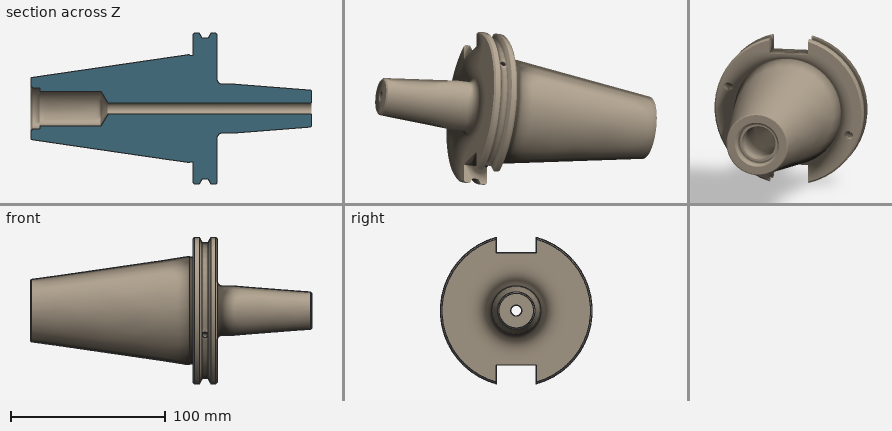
import cadquery as cq
import math

total_length = 181.6
gauge_x = 101.7
gauge_radius = 70.0 / 2
taper_ratio = 7 / 24
small_radius = gauge_radius - gauge_x * taper_ratio / 2
small_chamfer = 0.5
gauge_band = 0.9
neck_radius = 69.2 / 2

flange_x = 104.8
flange_width = 15.8
flange_end_x = flange_x + flange_width
flange_radius = 49.0
flange_chamfer = 1.0
groove_x = flange_x + flange_width / 2
groove_radius = 45.8
groove_floor_width = 3.8
groove_half_floor = groove_floor_width / 2
groove_half_mouth = groove_half_floor + (flange_radius - groove_radius) * math.tan(math.radians(30))

nose_radius = 32.0 / 2
nose_fillet = 3.0
nose_taper_x = 131.0
nose_tip_radius = 24.2 / 2
tip_chamfer = 0.9

slot_width = 25.6
upper_slot_floor = 37.5
lower_slot_floor = 35.2
dimple_radius = 10.0 / 2

bore_mouth_radius = 14.5
bore_mouth_depth = 1.5
counterbore_radius = 26.2 / 2
counterbore_depth = 6.0
thread_radius = 22.0 / 2
thread_depth = 45.4
through_radius = 6.9 / 2
drill_half_angle = math.radians(59)

coolant_angle = 20.0
face_hole_radius = 5.0 / 2
face_hole_offset = 42.0
face_hole_depth = 1.8
inner_hole_radius = 4.2 / 2
inner_hole_depth = 5.5
face_hole_tilt = 37.0
radial_hole_radius = 3.6 / 2
radial_hole_depth = 7.3


def drill_point(radius):
    """Length of the conical tip left by a drill."""
    return radius / math.tan(drill_half_angle)


def revolve_about_x(profile):
    return profile.close().revolve(360, (0, 0, 0), (1, 0, 0))


def drilled_hole(radius, depth, start, direction):
    """Blind hole with a conical bottom."""
    origin = cq.Vector(*start)
    axis = cq.Vector(*direction)
    barrel = cq.Solid.makeCylinder(radius, depth, origin, axis)
    tip = cq.Solid.makeCone(radius, 0, drill_point(radius), origin + axis * depth, axis)
    return cq.Workplane(barrel).union(cq.Workplane(tip))


def make_body():
    return revolve_about_x(
        cq.Workplane("XY")
        .moveTo(0, 0)
        .lineTo(0, small_radius - small_chamfer)
        .lineTo(small_chamfer, small_radius + small_chamfer * taper_ratio / 2)
        .lineTo(gauge_x, gauge_radius)
        .lineTo(gauge_x + gauge_band, gauge_radius)
        .lineTo(gauge_x + gauge_band, neck_radius)
        .lineTo(flange_x, neck_radius)
        .lineTo(flange_x, flange_radius - flange_chamfer)
        .lineTo(flange_x + flange_chamfer, flange_radius)
        .lineTo(groove_x - groove_half_mouth, flange_radius)
        .lineTo(groove_x - groove_half_floor, groove_radius)
        .lineTo(groove_x + groove_half_floor, groove_radius)
        .lineTo(groove_x + groove_half_mouth, flange_radius)
        .lineTo(flange_end_x - flange_chamfer, flange_radius)
        .lineTo(flange_end_x, flange_radius - flange_chamfer)
        .lineTo(flange_end_x, nose_radius + nose_fillet)
        .radiusArc((flange_end_x + nose_fillet, nose_radius), -nose_fillet)
        .lineTo(nose_taper_x, nose_radius)
        .lineTo(total_length - tip_chamfer, nose_tip_radius)
        .lineTo(total_length, nose_tip_radius - tip_chamfer)
        .lineTo(total_length, 0)
    )


def make_bore():
    cone_length = (thread_radius - through_radius) / math.tan(drill_half_angle)
    return revolve_about_x(
        cq.Workplane("XY")
        .moveTo(0, 0)
        .lineTo(0, bore_mouth_radius)
        .lineTo(bore_mouth_depth, counterbore_radius)
        .lineTo(counterbore_depth, counterbore_radius)
        .lineTo(counterbore_depth, thread_radius)
        .lineTo(thread_depth, thread_radius)
        .lineTo(thread_depth + cone_length, through_radius)
        .lineTo(total_length, through_radius)
        .lineTo(total_length, 0)
    )


def make_drive_slot(floor_z, side):
    """Slot across the flange rim; side is +1 for the top and -1 for the bottom."""
    height = flange_radius - floor_z
    return cq.Workplane("XY").box(flange_width, slot_width, height).translate(
        (groove_x, 0, side * (floor_z + height / 2))
    )


def make_dimple():
    origin = cq.Vector(groove_x, 0, upper_slot_floor)
    return cq.Workplane(
        cq.Solid.makeCone(dimple_radius, 0, drill_point(dimple_radius), origin, cq.Vector(0, 0, -1))
    )


def make_coolant_holes(side):
    angle = math.radians(coolant_angle)
    out_y = side * math.cos(angle)
    out_z = side * math.sin(angle)
    tilt = math.radians(face_hole_tilt)
    inward = math.sin(tilt)
    direction = (math.cos(tilt), -inward * out_y, -inward * out_z)
    lead = face_hole_radius * math.tan(tilt)
    start_x = flange_x - lead * math.cos(tilt)
    start_offset = face_hole_offset + lead * inward
    face_start = (start_x, start_offset * out_y, start_offset * out_z)
    face_hole = cq.Workplane(
        cq.Solid.makeCylinder(
            face_hole_radius, face_hole_depth + lead, cq.Vector(*face_start), cq.Vector(*direction)
        )
    )
    inner_hole = drilled_hole(inner_hole_radius, inner_hole_depth + lead, face_start, direction)
    radial_start = (groove_x, flange_radius * out_y, flange_radius * out_z)
    barrel_length = radial_hole_depth + flange_radius - groove_radius
    radial_hole = drilled_hole(radial_hole_radius, barrel_length, radial_start, (0, -out_y, -out_z))
    return face_hole.union(inner_hole).union(radial_hole)


result = make_body().cut(make_bore())
result = result.cut(make_drive_slot(upper_slot_floor, 1))
result = result.cut(make_drive_slot(lower_slot_floor, -1))
result = result.cut(make_dimple())
for side in (1, -1):
    result = result.cut(make_coolant_holes(side))